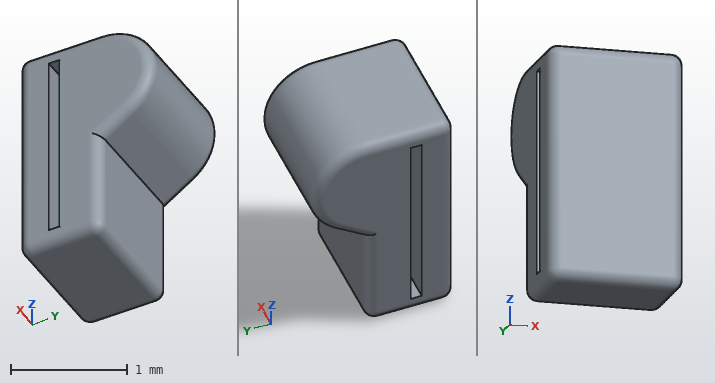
import cadquery as cq
import math

width = 1.2
height = 2.1
stem_depth = 0.8
head_radius = 0.5
knee_height = 1.0
edge_radius = 0.1

slot_front = 0.3
slot_thickness = 0.1
slot_end_margin = 0.15

head_center_height = height - head_radius

tangent_angle = math.acos(head_radius / (head_center_height - knee_height))
tangent_point = (
    stem_depth + head_radius * math.sin(tangent_angle),
    head_center_height - head_radius * math.cos(tangent_angle),
)
head_back_point = (stem_depth + head_radius, head_center_height)


def make_body():
    """Side profile extruded across the width, with its outer edges rounded."""
    body = (
        cq.Workplane("YZ")
        .moveTo(0, 0)
        .lineTo(stem_depth, 0)
        .lineTo(stem_depth, knee_height)
        .lineTo(*tangent_point)
        .threePointArc(head_back_point, (stem_depth, height))
        .lineTo(0, height)
        .close()
        .extrude(width / 2, both=True)
    )
    return body.edges("<X or >X or <Y or <Z").fillet(edge_radius)


def make_slot():
    """Thin rectangular cutter spanning the full width."""
    slot_height = height - 2 * slot_end_margin
    return cq.Workplane("XY").box(width, slot_thickness, slot_height).translate(
        (0, slot_front + slot_thickness / 2, height / 2)
    )


result = make_body().cut(make_slot())